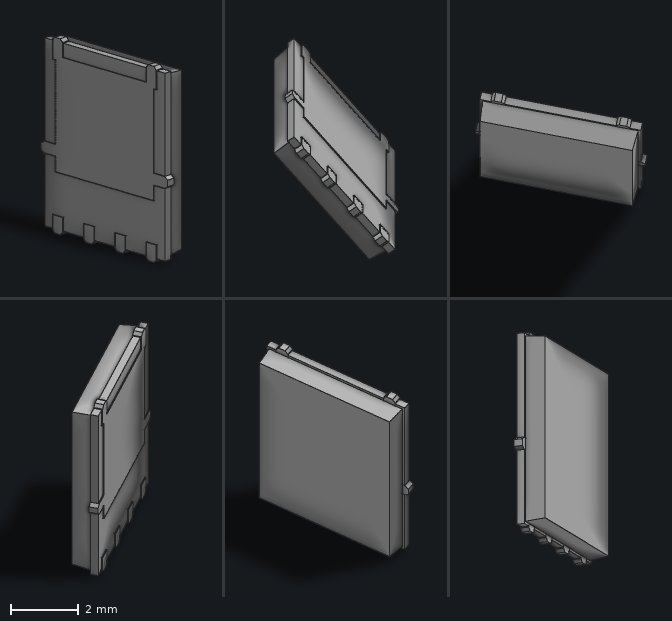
import cadquery as cq


OVERALL_WIDTH = 5.15
OVERALL_HEIGHT = 6.15
OVERALL_DEPTH = 0.9

BASE_WIDTH = 4.89
BASE_HEIGHT = 5.9
METAL_THICKNESS = 0.275
METAL_PROUD = 0.03

LID_INSET = 0.085
LID_DRAFT = 4.8

LEAD_PITCH = 1.265
LEAD_COUNT = 4
LEAD_WIDTH = 0.42
LEAD_COVER = 0.44
TIP_CHAMFER = 0.1

PAD_WIDTH = 3.99
PAD_BOTTOM_MARGIN = 1.8
TOP_TAB_COVER = 0.59
SIDE_TAB_WIDTH = 0.38
SIDE_TIP_STEP = 0.085
SIDE_TAB_HEIGHT = 2.48

BASE_TOP = BASE_HEIGHT / 2
BASE_BOTTOM = -BASE_TOP
METAL_TOP = OVERALL_HEIGHT / 2
PAD_TOP = BASE_TOP - LEAD_COVER
PAD_BOTTOM = BASE_BOTTOM + PAD_BOTTOM_MARGIN
SIDE_TAB_Z = BASE_BOTTOM + SIDE_TAB_HEIGHT
LEAD_LENGTH = METAL_TOP - BASE_TOP + LEAD_COVER
TOP_TAB_LENGTH = METAL_TOP - BASE_TOP + TOP_TAB_COVER
LEAD_XS = [(i - (LEAD_COUNT - 1) / 2) * LEAD_PITCH for i in range(LEAD_COUNT)]
TOP_TAB_XS = [LEAD_XS[0], LEAD_XS[-1]]


def block(x_min, x_max, y_min, y_max, z_min, z_max):
    """Box between the given limits."""
    size = (x_max - x_min, y_max - y_min, z_max - z_min)
    return cq.Workplane("XY").box(*size, centered=False).translate((x_min, y_min, z_min))


def metal_block(x_min, x_max, z_min, z_max):
    """Box as thick as the metal parts."""
    return block(x_min, x_max, 0, METAL_THICKNESS, z_min, z_max)


def make_lid():
    """Tapered block behind the base and the metal parts."""
    front_to_back = cq.Workplane("XZ", origin=(0, METAL_THICKNESS, 0)).workplane(invert=True)
    outline = front_to_back.rect(BASE_WIDTH - 2 * LID_INSET, BASE_HEIGHT - 2 * LID_INSET)
    return outline.extrude(OVERALL_DEPTH - METAL_THICKNESS, taper=LID_DRAFT)


def make_lead(x):
    """Flat lead along the lower edge, with a chamfered tip."""
    lead = metal_block(x - LEAD_WIDTH / 2, x + LEAD_WIDTH / 2, -METAL_TOP, -METAL_TOP + LEAD_LENGTH)
    return lead.faces("<Z").edges("|Y").chamfer(TIP_CHAMFER)


def make_top_tab(x):
    """Tab of the pad that reaches past the upper edge."""
    tab = metal_block(x - LEAD_WIDTH / 2, x + LEAD_WIDTH / 2, METAL_TOP - TOP_TAB_LENGTH, METAL_TOP)
    return tab.faces(">Z").edges("|Y").chamfer(TIP_CHAMFER)


def make_side_tabs():
    """Bar across the pad whose two ends are the side tabs, narrowing where they leave the base."""
    half_length = OVERALL_WIDTH / 2
    half_width = SIDE_TAB_WIDTH / 2
    half_tip = half_width - SIDE_TIP_STEP
    upper_side = [
        (-half_length, half_tip),
        (-BASE_WIDTH / 2, half_width),
        (BASE_WIDTH / 2, half_width),
        (half_length, half_tip),
    ]
    lower_side = [(x, -z) for x, z in reversed(upper_side)]
    sketch = cq.Workplane("XZ", origin=(0, METAL_THICKNESS, SIDE_TAB_Z))
    return sketch.polyline(upper_side + lower_side).close().extrude(METAL_THICKNESS)


def make_pad():
    """Drain pad with two top tabs and two side tabs, all one piece of metal."""
    pad = metal_block(-PAD_WIDTH / 2, PAD_WIDTH / 2, PAD_BOTTOM, PAD_TOP)
    pad = pad.union(make_side_tabs())
    for x in TOP_TAB_XS:
        pad = pad.union(make_top_tab(x))
    return pad


def make_base_pieces(metal_parts):
    """Frame around the metal parts; the pad and its tabs divide it into four solids."""
    base = block(
        -BASE_WIDTH / 2, BASE_WIDTH / 2, METAL_PROUD, METAL_THICKNESS, BASE_BOTTOM, BASE_TOP
    )
    for part in metal_parts:
        base = base.cut(part)
    return base.solids()


lid = make_lid()
pad = make_pad()
leads = [make_lead(x) for x in LEAD_XS]
base_pieces = make_base_pieces([pad, *leads])

result = cq.Compound.makeCompound(
    [lid.val(), pad.val(), *[lead.val() for lead in leads], *base_pieces.vals()]
)